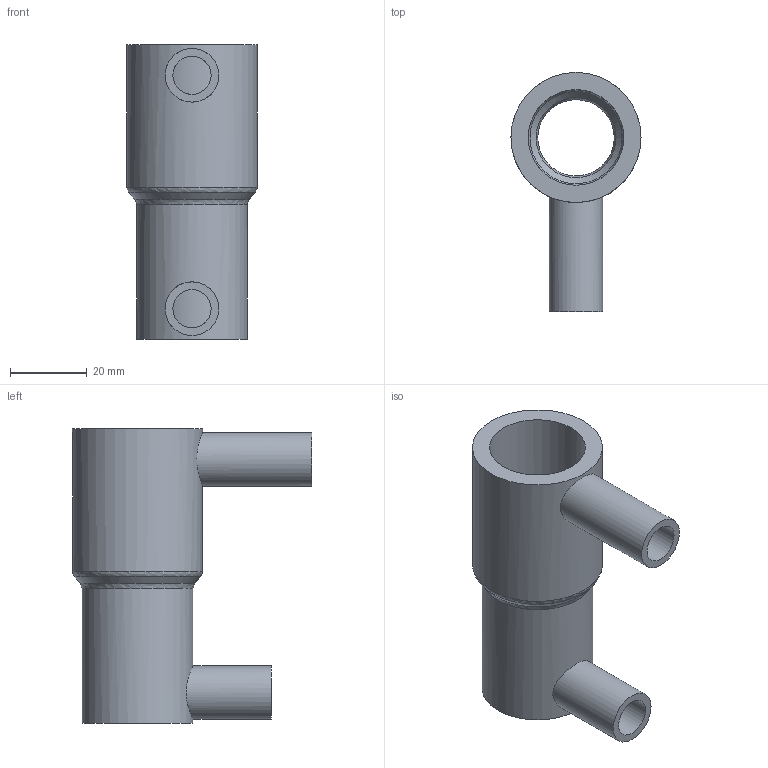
import cadquery as cq

total_height = 77.0
wall = 4.5
lower_outer_radius = 14.5
upper_outer_radius = 17.0
cone_bottom = 36.0
cone_top = 39.0
blend_radius = 2.0

pipe_outer_radius = 7.0
pipe_bore_radius = 5.0
pipe_end_inset = 8.0
upper_pipe_reach = 45.5
lower_pipe_reach = 35.0


def stepped_body(lower_radius, upper_radius):
    """Solid of revolution: two cylinders joined by a cone with rounded edges."""
    body = (
        cq.Workplane("XZ")
        .moveTo(0, 0)
        .lineTo(lower_radius, 0)
        .lineTo(lower_radius, cone_bottom)
        .lineTo(upper_radius, cone_top)
        .lineTo(upper_radius, total_height)
        .lineTo(0, total_height)
        .close()
        .revolve(360, (0, 0, 0), (0, 1, 0))
    )
    half_width = 2 * upper_radius
    around_cone = cq.selectors.BoxSelector(
        (-half_width, -half_width, cone_bottom - blend_radius),
        (half_width, half_width, cone_top + blend_radius),
        boundingbox=True,
    )
    return body.edges("%CIRCLE").edges(around_cone).fillet(blend_radius)


def side_pipe(axis_height, reach):
    """Pipe from the main axis out along -Y, open at its far end."""
    return (
        cq.Workplane("XZ")
        .center(0, axis_height)
        .circle(pipe_outer_radius)
        .circle(pipe_bore_radius)
        .extrude(reach)
    )


outer_body = stepped_body(lower_outer_radius, upper_outer_radius)
main_bore = stepped_body(lower_outer_radius - wall, upper_outer_radius - wall)
lower_pipe = side_pipe(pipe_end_inset, lower_pipe_reach)
upper_pipe = side_pipe(total_height - pipe_end_inset, upper_pipe_reach)

result = outer_body.union(lower_pipe).union(upper_pipe).cut(main_bore)